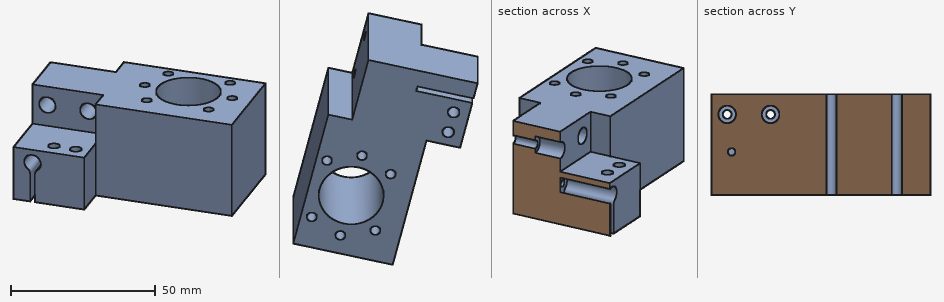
import cadquery as cq
import math

length = 76.0
depth = 47.5
height = 35.0

lug_width = 26.0
lug_depth = 20.0
lug_height = 20.0
body_front = 12.0
notch_width = 24.0
notch_depth = 8.5

bore_diameter = 22.5
bore_x = 53.0
bore_y = 32.4
bolt_circle_radius = 16.0
bolt_hole_diameter = 3.4
bolt_angles = (0, 45, 135, 180, 225, 315)

lug_hole_diameter = 4.0
lug_hole_xs = (13.0, 21.0)
lug_hole_y = 5.5

mount_hole_diameter = 3.0
counterbore_diameter = 6.0
counterbore_depth = 10.0
mount_hole_xs = (5.5, 20.5)
mount_hole_z = 28.0

keyhole_x = 7.0
keyhole_z = 15.0
keyhole_radius = 3.05
slot_half_width = 0.9
throat_radius = 2.0
keyhole_depth = lug_depth
pilot_diameter = 2.5
pilot_depth = 6.1


def box(x, y, z, size_x, size_y, size_z):
    """Box placed by its minimum corner."""
    return cq.Workplane("XY").box(size_x, size_y, size_z, centered=False).translate((x, y, z))


def vertical_hole(x, y, diameter):
    """Cylinder through the full height."""
    return cq.Workplane("XY").center(x, y).circle(diameter / 2).extrude(height)


def rearward_hole(x, y, z, diameter, hole_depth):
    """Cylinder running toward +Y from the given start point."""
    plane = cq.Workplane("XZ", origin=(x, y, z))
    return plane.circle(diameter / 2).extrude(-hole_depth)


def keyhole():
    """Round hole opening downward into a slot through a rounded throat."""
    throat_x = slot_half_width + throat_radius
    center_distance = keyhole_radius + throat_radius
    throat_z = -math.sqrt(center_distance**2 - throat_x**2)
    join_x = throat_x * keyhole_radius / center_distance
    join_z = throat_z * keyhole_radius / center_distance
    middle_angle = math.atan2(-throat_z, throat_x) / 2
    mid_x = throat_x - throat_radius * math.cos(middle_angle)
    mid_z = throat_z + throat_radius * math.sin(middle_angle)
    return (
        cq.Workplane("XZ", origin=(keyhole_x, 0, keyhole_z))
        .moveTo(-slot_half_width, -keyhole_z)
        .lineTo(-slot_half_width, throat_z)
        .threePointArc((-mid_x, mid_z), (-join_x, join_z))
        .threePointArc((0, keyhole_radius), (join_x, join_z))
        .threePointArc((mid_x, mid_z), (slot_half_width, throat_z))
        .lineTo(slot_half_width, -keyhole_z)
        .close()
        .extrude(-keyhole_depth)
    )


result = box(0, 0, 0, length, depth, height)
result = result.cut(box(lug_width, 0, 0, length - lug_width, body_front, height))
result = result.cut(box(0, 0, lug_height, lug_width, lug_depth, height - lug_height))
result = result.cut(box(0, depth - notch_depth, 0, notch_width, notch_depth, height))

result = result.cut(vertical_hole(bore_x, bore_y, bore_diameter))
for angle in bolt_angles:
    bolt_x = bore_x + bolt_circle_radius * math.cos(math.radians(angle))
    bolt_y = bore_y + bolt_circle_radius * math.sin(math.radians(angle))
    result = result.cut(vertical_hole(bolt_x, bolt_y, bolt_hole_diameter))

for hole_x in lug_hole_xs:
    result = result.cut(vertical_hole(hole_x, lug_hole_y, lug_hole_diameter))

for hole_x in mount_hole_xs:
    result = result.cut(rearward_hole(hole_x, 0, mount_hole_z, mount_hole_diameter, depth))
    counterbore = rearward_hole(
        hole_x, lug_depth, mount_hole_z, counterbore_diameter, counterbore_depth
    )
    result = result.cut(counterbore)

result = result.cut(keyhole())
result = result.cut(rearward_hole(keyhole_x, keyhole_depth, keyhole_z, pilot_diameter, pilot_depth))